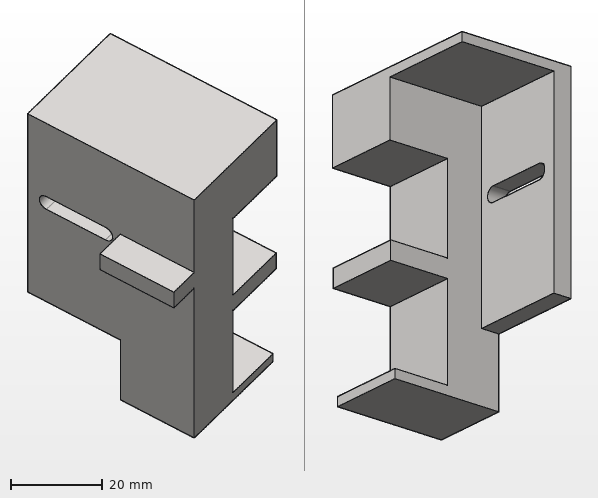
import cadquery as cq

width = 45.2
height = 73.95
roof_depth = 30.7
bar_reach = 7.55

plate_thickness = 4.9
roof_thickness = 2.45
foot_thickness = 2.45
rib_thickness = 4.9

body_left = 25.15
body_width = width - body_left
spine_depth = 14.4
head_bottom = 56.5
rib_bottom = 27.9
rib_top = rib_bottom + rib_thickness
rib_depth = 30.5
foot_depth = 29.3

plate_bottom = 18.55
slot_left = 3.2
slot_length = 19.9
slot_height = 3.9
slot_center_z = 49.25
bar_height = 4.9
bar_bottom = 46.6


def box(x, y, z, size_x, size_y, size_z):
    """Box placed by its lowest corner."""
    return cq.Workplane("XY").box(size_x, size_y, size_z, centered=False).translate((x, y, z))


body_profile = [
    (0, 0),
    (foot_depth, 0),
    (foot_depth, foot_thickness),
    (spine_depth, foot_thickness),
    (spine_depth, rib_bottom),
    (rib_depth, rib_bottom),
    (rib_depth, rib_top),
    (spine_depth, rib_top),
    (spine_depth, head_bottom),
    (roof_depth, head_bottom),
    (roof_depth, height),
    (0, height),
]
body = cq.Workplane("YZ", origin=(body_left, 0, 0)).polyline(body_profile).close().extrude(body_width)

plate = box(0, 0, plate_bottom, width, plate_thickness, height - plate_bottom)
roof = box(0, 0, height - roof_thickness, width, roof_depth, roof_thickness)

bar = box(body_left, -bar_reach, bar_bottom, body_width, bar_reach, bar_height)

slot = (
    cq.Workplane("XZ", origin=(slot_left + slot_length / 2, 0, slot_center_z))
    .slot2D(slot_length, slot_height)
    .extrude(-plate_thickness)
)

result = body.union(plate).union(roof).union(bar).cut(slot)